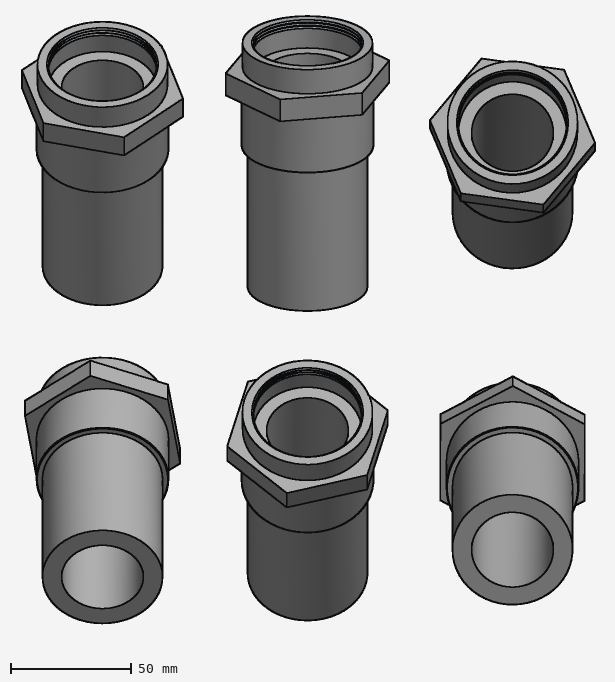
import cadquery as cq

total_height = 111.0
collar_height = 11.0
hex_height = 10.0
body_height = 26.0
hex_base = total_height - collar_height - hex_height
body_base = hex_base - body_height

tube_diameter = 50.0
body_diameter = 55.0
collar_diameter = 54.1
hex_across_flats = 60.0
body_chamfer = 0.3

bore_diameter = 34.0
socket_diameter = 45.0
socket_depth = 12.5

groove_diameter = 46.3
groove_pitch = 1.4
groove_count = 2


def cylinder(diameter, base, height):
    """Cylinder on the Z axis, standing on the given level."""
    return cq.Workplane("XY").workplane(offset=base).circle(diameter / 2).extrude(height)


tube = cylinder(tube_diameter, 0, total_height)
body = cylinder(body_diameter, body_base, body_height).faces("<Z").chamfer(body_chamfer)
collar = cylinder(collar_diameter, hex_base, hex_height + collar_height)

wrench_flange = (
    cq.Workplane("XY")
    .workplane(offset=hex_base)
    .polygon(6, hex_across_flats, circumscribed=True)
    .extrude(hex_height)
)

bore = cylinder(bore_diameter, 0, total_height)
socket = cylinder(socket_diameter, total_height - socket_depth, socket_depth)


def grooved_mouth():
    """Solid of revolution with a lead-in cone at the top face and V-grooves below it."""
    crest_radius = socket_diameter / 2
    root_radius = groove_diameter / 2
    profile = cq.Workplane("XZ").moveTo(0, total_height).lineTo(root_radius, total_height)
    crest_level = total_height - groove_pitch / 2
    profile = profile.lineTo(crest_radius, crest_level)
    for _ in range(groove_count):
        profile = profile.lineTo(root_radius, crest_level - groove_pitch / 2)
        crest_level -= groove_pitch
        profile = profile.lineTo(crest_radius, crest_level)
    return profile.lineTo(0, crest_level).close().revolve(360, (0, 0, 0), (0, 1, 0))


outside = tube.union(body).union(collar).union(wrench_flange)
result = outside.cut(bore).cut(socket).cut(grooved_mouth())